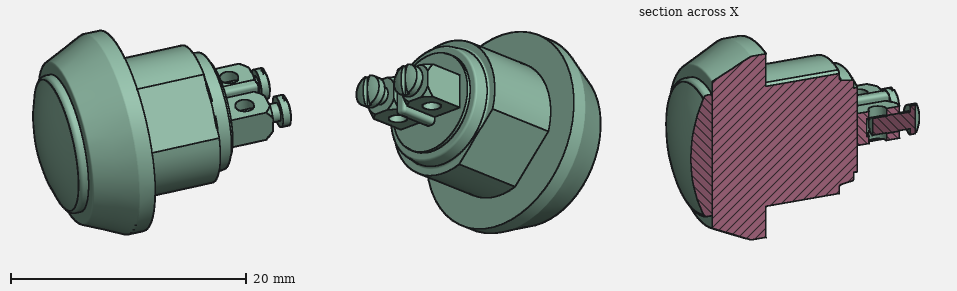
import cadquery as cq
import math


bezel_radius = 17.5 / 2
bezel_rim_length = 1.4
bezel_length = 5.05
bezel_face_radius = 7.09
bezel_edge_fillet = 0.2

barrel_radius = 12.0 / 2
barrel_length = 6.83
flat_distance = 5.31
flat_angle = -45.0

collar_length = 1.37
collar_front_radius = 5.27
collar_rear_radius = 5.09
collar_fillet = 0.2

disc_radius = 8.8 / 2
disc_length = 0.32

barrier_thickness = 1.0
barrier_height = 4.25
barrier_length = 3.73
barrier_fillet = 0.33
barrier_end_fillet = 0.27

button_radius = 12.0 / 2
button_rim_length = 0.82
button_edge_fillet = 0.4
dome_base_radius = 5.72
dome_height = 1.33

terminal_size = 3.0
terminal_length = 3.94
terminal_offset = (barrier_thickness + terminal_size) / 2
terminal_cone_radius = 1.65
terminal_cone_depth = 0.62
wire_hole_diameter = 1.6
wire_hole_from_base = 1.9

shank_diameter = 1.6
shank_length = 3.5
head_diameter = 2.7
head_rim_height = 0.71
head_dome_height = 0.3
slot_width = 0.5
slot_depth = 0.5
screw_gaps = {-1: 0.46, 1: 0.96}

barrel_rear = barrel_length
collar_rear = barrel_rear + collar_length
disc_rear = collar_rear + disc_length
terminal_rear = disc_rear + terminal_length
bore_depth = shank_length - min(screw_gaps.values())


def disc_at(y, radius, length, x=0.0):
    """Cylinder along +Y that starts at the given Y."""
    plane = cq.Workplane("XZ", origin=(x, y, 0))
    return plane.circle(radius).extrude(-length)


def cap_solid(radius, side_length, cap_height):
    """Round solid about Y: a straight side from Y = 0, then a spherical cap toward +Y."""
    sphere_radius = (radius**2 + cap_height**2) / (2 * cap_height)
    half_angle = math.asin(radius / sphere_radius) / 2
    top = side_length + cap_height
    middle = (
        sphere_radius * math.sin(half_angle),
        top - sphere_radius * (1 - math.cos(half_angle)),
    )
    profile = (
        cq.Workplane("XY")
        .lineTo(radius, 0)
        .lineTo(radius, side_length)
        .threePointArc(middle, (0, top))
        .close()
    )
    return profile.revolve(360, (0, 0, 0), (0, 1, 0))


def make_bezel():
    profile = (
        cq.Workplane("XY")
        .lineTo(bezel_radius, 0)
        .lineTo(bezel_radius, -bezel_rim_length)
        .lineTo(bezel_face_radius, -bezel_length)
        .lineTo(0, -bezel_length)
        .close()
    )
    bezel = profile.revolve(360, (0, 0, 0), (0, 1, 0))
    span = 2 * bezel_radius
    cone_edges = cq.selectors.BoxSelector(
        (-span, -span, -span),
        (span, -bezel_rim_length / 2, span),
    )
    return bezel.edges("%CIRCLE").edges(cone_edges).fillet(bezel_edge_fillet)


def make_barrel():
    """Barrel and collar, trimmed by two flats along the barrel length."""
    collar_profile = (
        cq.Workplane("XY")
        .moveTo(0, barrel_rear)
        .lineTo(collar_front_radius, barrel_rear)
        .lineTo(collar_rear_radius, collar_rear)
        .lineTo(0, collar_rear)
        .close()
    )
    collar = collar_profile.revolve(360, (0, 0, 0), (0, 1, 0))
    barrel = disc_at(0, barrel_radius, barrel_length).union(collar)
    barrel = barrel.faces(">Y").edges().fillet(collar_fillet)
    collar_root = barrel.edges("%CIRCLE").edges(cq.selectors.RadiusNthSelector(-2))
    barrel = collar_root.fillet(collar_fillet)
    flats = cq.Workplane("XY").box(
        2 * flat_distance, 2 * collar_rear, 2 * bezel_radius
    )
    return barrel.intersect(flats.rotate((0, 0, 0), (0, 1, 0), flat_angle))


def make_barrier():
    barrier = cq.Workplane("XY").box(
        barrier_thickness, barrier_length, barrier_height
    )
    barrier = barrier.translate((0, disc_rear + barrier_length / 2, 0))
    barrier = barrier.edges("|Y").fillet(barrier_fillet)
    return barrier.faces(">Y").edges().fillet(barrier_end_fillet)


def make_housing():
    rear_disc = disc_at(collar_rear, disc_radius, disc_length)
    return make_bezel().union(make_barrel()).union(rear_disc).union(make_barrier())


def make_button():
    """Domed button that rests on the bezel face."""
    rim = disc_at(0, button_radius, button_rim_length)
    rim = rim.faces(">Y").edges().fillet(button_edge_fillet)
    dome = cap_solid(dome_base_radius, button_rim_length, dome_height)
    button = rim.union(dome)
    return button.rotate((0, 0, 0), (0, 0, 1), 180).translate((0, -bezel_length, 0))


def make_terminal(side):
    """Square block with cone-chamfered corners, a wire hole along Z and a screw bore along Y."""
    x = side * terminal_offset
    block = cq.Workplane("XY").box(terminal_size, terminal_length, terminal_size)
    block = block.translate((x, disc_rear + terminal_length / 2, 0))

    corner_radius = terminal_size / math.sqrt(2)
    cone_slope = terminal_cone_depth / (corner_radius - terminal_cone_radius)
    cone_base_radius = terminal_cone_radius + terminal_length / cone_slope
    cone = cq.Solid.makeCone(
        cone_base_radius,
        terminal_cone_radius,
        terminal_length,
        pnt=cq.Vector(x, disc_rear, 0),
        dir=cq.Vector(0, 1, 0),
    )
    block = block.intersect(cq.Workplane(cone))

    wire_hole = (
        cq.Workplane("XY")
        .center(x, disc_rear + wire_hole_from_base)
        .circle(wire_hole_diameter / 2)
        .extrude(terminal_size, both=True)
    )
    bore = disc_at(terminal_rear - bore_depth, shank_diameter / 2, bore_depth, x)
    return block.cut(wire_hole).cut(bore)


def make_screw(side):
    """Slotted screw whose shank sits in the terminal bore."""
    x = side * terminal_offset
    head_base = terminal_rear + screw_gaps[side]
    head_height = head_rim_height + head_dome_height
    head = cap_solid(head_diameter / 2, head_rim_height, head_dome_height)
    slot = cq.Workplane("XY").box(slot_width, 2 * slot_depth, head_diameter)
    head = head.cut(slot.translate((0, head_height, 0)))
    shank = disc_at(-shank_length, shank_diameter / 2, shank_length)
    return head.union(shank).translate((x, head_base, 0))


housing = make_housing()
button = make_button()
terminals = [make_terminal(side) for side in screw_gaps]
screws = [make_screw(side) for side in screw_gaps]

result = cq.Compound.makeCompound(
    [housing.val(), button.val(), *[part.val() for part in terminals + screws]]
)